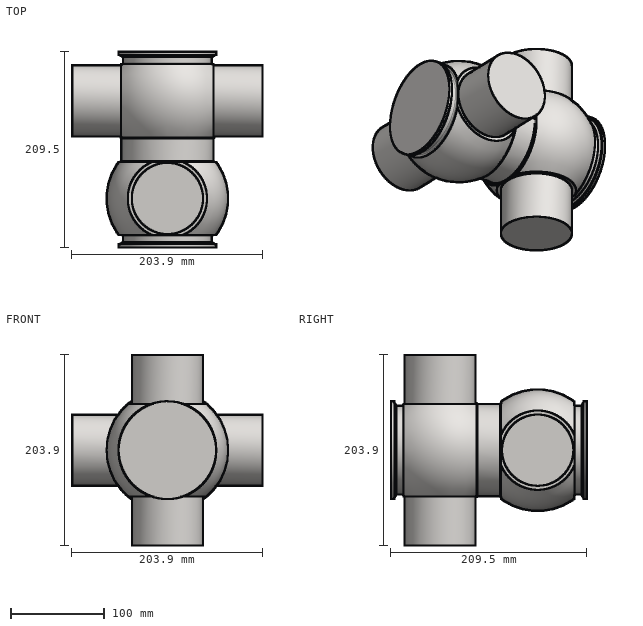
import cadquery as cq

total_length = 209.5
pipe_span = 203.9

ball_radius = 65.2
ball_offset = 52.2
ball_half_length = 39.2
pipe_flat = 49.5

pipe_radius = 38.1
neck_radius = 49.5
neck_fillet = 0.8

waist_radius = 47.5
rim_radius = 52.4
rim_thickness = 3.8
slope_radius = 51.0
flange_thickness = 5.9
waist_fillet = 1.3

end_face = total_length / 2
ball_outer_cut = ball_offset + ball_half_length
ball_inner_cut = ball_offset - ball_half_length
slope_top = end_face - rim_thickness
slope_foot = end_face - flange_thickness


def make_valve_body():
    """Truncated ball at the origin with a pair of pipes along Z."""
    body = cq.Workplane("XY").sphere(ball_radius)
    limits = cq.Workplane("XY").box(2 * ball_radius, 2 * ball_half_length, 2 * pipe_flat)
    pipes = cq.Workplane("XY").circle(pipe_radius).extrude(pipe_span / 2, both=True)
    return body.intersect(limits).union(pipes)


def make_flange():
    """Waist and rim at the +Y end, revolved about the Y axis."""
    return (
        cq.Workplane("XY")
        .moveTo(0, ball_outer_cut)
        .lineTo(waist_radius + waist_fillet, ball_outer_cut)
        .radiusArc((waist_radius, ball_outer_cut + waist_fillet), waist_fillet)
        .lineTo(waist_radius, slope_foot)
        .lineTo(slope_radius, slope_top)
        .lineTo(rim_radius, slope_top)
        .lineTo(rim_radius, end_face)
        .lineTo(0, end_face)
        .close()
        .revolve(360, (0, 0, 0), (0, 1, 0))
    )


def make_neck():
    """Neck between the balls along Y, flared where it meets each one."""
    flare_radius = neck_radius + neck_fillet
    flare_end = ball_inner_cut - neck_fillet
    return (
        cq.Workplane("XY")
        .moveTo(0, -ball_inner_cut)
        .lineTo(flare_radius, -ball_inner_cut)
        .radiusArc((neck_radius, -flare_end), neck_fillet)
        .lineTo(neck_radius, flare_end)
        .radiusArc((flare_radius, ball_inner_cut), neck_fillet)
        .lineTo(0, ball_inner_cut)
        .close()
        .revolve(360, (0, 0, 0), (0, 1, 0))
    )


valve_body = make_valve_body()
front_body = valve_body.translate((0, -ball_offset, 0))
rear_body = valve_body.rotate((0, 0, 0), (0, 1, 0), 90).translate((0, ball_offset, 0))

neck = make_neck()
rear_flange = make_flange()
front_flange = rear_flange.mirror("XZ")

result = front_body.union(rear_body).union(neck).union(rear_flange).union(front_flange)